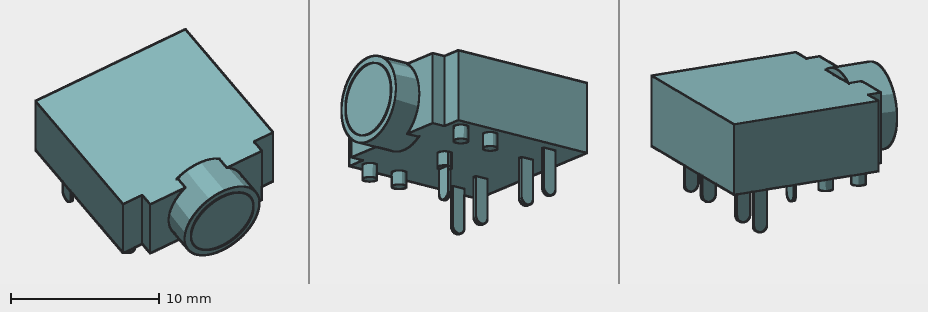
import cadquery as cq

BLOCK_LENGTH = 11.0
HOUSING_WIDTH = 12.0
HOUSING_HEIGHT = 5.0
TAB_LENGTH = 1.0
TAB_WIDTH = 8.94

TOTAL_LENGTH = 14.05
TOTAL_HEIGHT = 8.8
LINER_PROJECTION = 0.05
BARREL_DIAMETER = 6.0
LINER_DIAMETER = 5.0
BARREL_END = TOTAL_LENGTH - LINER_PROJECTION
BARREL_LENGTH = BARREL_END - BLOCK_LENGTH
AXIS_HEIGHT = HOUSING_HEIGHT / 2

POST_DIAMETER = 1.0
POST_LENGTH = 1.0
POST_PITCH = 2.5
CENTRE_X = 7.5
OUTER_Y = 2 * POST_PITCH

TERMINAL_WIDTH = 1.0
TERMINAL_LENGTH = TOTAL_HEIGHT - HOUSING_HEIGHT - (BARREL_DIAMETER - HOUSING_HEIGHT) / 2
THIN_TERMINAL = 0.2
THICK_TERMINAL = 0.3
REAR_X = CENTRE_X - 2 * POST_PITCH
INNER_Y = POST_PITCH


def make_cylinder_along_x(diameter, start, length):
    """Cylinder on the jack axis, from start towards +X."""
    return (
        cq.Workplane("YZ", origin=(start, 0, AXIS_HEIGHT))
        .circle(diameter / 2)
        .extrude(length)
    )


def make_terminal(x, y, thickness, turn=0):
    """Round-tipped blade below the block; its width is along X before the turn about Z."""
    half_width = TERMINAL_WIDTH / 2
    tip_start = half_width - TERMINAL_LENGTH
    blade = (
        cq.Workplane("XZ")
        .moveTo(-half_width, 0)
        .lineTo(half_width, 0)
        .lineTo(half_width, tip_start)
        .threePointArc((0, -TERMINAL_LENGTH), (-half_width, tip_start))
        .close()
        .extrude(thickness / 2, both=True)
    )
    return blade.rotate((0, 0, 0), (0, 0, 1), turn).translate((x, y, 0))


def make_block():
    """Rectangular block with a wide tab on its +X end."""
    block = cq.Workplane("XY").box(
        BLOCK_LENGTH, HOUSING_WIDTH, HOUSING_HEIGHT, centered=(False, True, False)
    )
    tab = cq.Workplane("XY", origin=(BLOCK_LENGTH, 0, 0)).box(
        TAB_LENGTH, TAB_WIDTH, HOUSING_HEIGHT, centered=(False, True, False)
    )
    return block.union(tab)


def make_posts():
    """One centre post and two posts near each long side."""
    places = [(CENTRE_X, 0)]
    for y in (-OUTER_Y, OUTER_Y):
        places += [(CENTRE_X, y), (CENTRE_X + POST_PITCH, y)]
    return cq.Workplane("XY").pushPoints(places).circle(POST_DIAMETER / 2).extrude(-POST_LENGTH)


def make_housing():
    """Block with its posts and terminals, and the barrel's seat cut through the tab."""
    housing = make_block().union(make_posts())
    housing = housing.union(make_terminal(CENTRE_X, 0, THIN_TERMINAL, turn=90))
    for side in (-1, 1):
        housing = housing.union(make_terminal(REAR_X, side * OUTER_Y, THIN_TERMINAL))
        housing = housing.union(make_terminal(REAR_X, side * INNER_Y, THICK_TERMINAL))
    seat = make_cylinder_along_x(BARREL_DIAMETER, BLOCK_LENGTH, BARREL_LENGTH)
    return housing.cut(seat)


def make_liner():
    """Plain round liner filling the barrel and ending just beyond its mouth."""
    return make_cylinder_along_x(LINER_DIAMETER, BLOCK_LENGTH, BARREL_LENGTH + LINER_PROJECTION)


def make_barrel(liner):
    """Round barrel bored to hold the liner."""
    return make_cylinder_along_x(BARREL_DIAMETER, BLOCK_LENGTH, BARREL_LENGTH).cut(liner)


housing = make_housing()
liner = make_liner()
barrel = make_barrel(liner)

result = cq.Compound.makeCompound([housing.val(), barrel.val(), liner.val()])